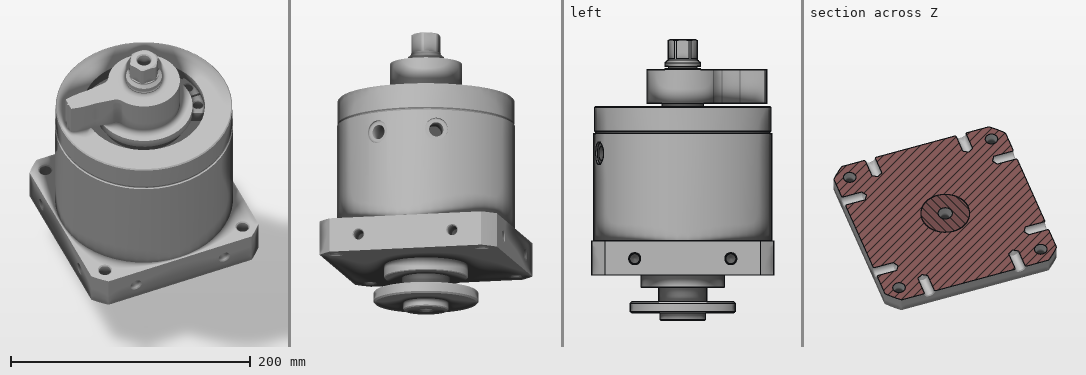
import cadquery as cq
import math


DISC_BOTTOM = 6.3
DISC_TOP = 15.7
SPIGOT_BOTTOM = 27.5
FLANGE_BOTTOM = 38.0
FLANGE_TOP = 66.3
JOURNAL_TOP = 123.5
BODY_TOP = 155.9
CAP_BOTTOM = 157.3
CAP_TOP = 178.5
LEVER_BOTTOM = 181.2
LEVER_TOP = 209.3
SHOULDER_TOP = 210.0
COLLAR_BOTTOM = 212.0
COLLAR_RIM = 215.0
COLLAR_TOP = 217.3
HEX_BOTTOM = 218.5
SHAFT_TOP = 234.5

FLANGE_SIDE = 152.0
FLANGE_CORNER_DIAMETER = 200.0
SPIGOT_DIAMETER = 69.9
SPIGOT_CHAMFER = 0.7
BODY_DIAMETER = 148.8
BODY_CHAMFER = 0.5
CAP_DIAMETER = 147.5
CAP_CHAMFER = 1.0
CAP_NECK_DIAMETER = CAP_DIAMETER - 2 * CAP_CHAMFER

MOUNT_HOLE_DIAMETER = 10.0
MOUNT_HOLE_RIM = 12.0
MOUNT_HOLE_OFFSET = 62.5

THREAD_CORE_DIAMETER = 8.5
THREAD_RIM = 10.0
SIDE_HOLE_OFFSET = 40.0
SIDE_HOLE_HEIGHT = 51.5
SIDE_HOLE_DEPTH = 17.5
DRILL_POINT_ANGLE = 118.0

PORT_DIAMETER = 12.0
PORT_DEPTH = 18.8
PORT_SEAT_DIAMETER = 19.0
PORT_SEAT_DEPTH = 2.0
PORT_HEIGHT = 139.5
PORT_ANGLE = 20.0

SLOT_OUTER_RADIUS = 50.9
SLOT_INNER_RADIUS = 40.5
SLOT_UNDERCUT = 5.2
SLOT_LIP = 7.0
SLOT_DEPTH = 16.6
SLOT_FLOOR = CAP_TOP - SLOT_DEPTH
LIP_UNDERSIDE = CAP_TOP - SLOT_LIP

STOP_END_ANGLE = 25.7
STOP_GAP = 2.0
STOP_HOLE_ANGLE = 13.5
STOP_HOLE_RADIUS = (SLOT_OUTER_RADIUS + SLOT_INNER_RADIUS) / 2

TAIL_DIAMETER = 38.0
TAIL_CHAMFER = 1.0
DISC_DIAMETER = 88.0
DISC_CHAMFER = 1.5
JOURNAL_DIAMETER = 40.0
HUB_DIAMETER = 35.0
SHOULDER_DIAMETER = 30.0
GROOVE_DIAMETER = 24.0
HEX_CORNER_DIAMETER = 24.5
HEX_ACROSS_FLATS = 22.3
HEX_TOP_DIAMETER = 21.0
HEX_CHAMFER_HEIGHT = 1.0
BORE_DIAMETER = 11.5
BORE_CHAMFER = 1.0

LEVER_HEAD_RADIUS = 30.0
ARM_ROOT_HALF_WIDTH = 15.2
ARM_NECK = (10.3, -32.8)
ARM_KNEE = (8.2, -47.5)
ARM_SIDE = (7.7, -58.1)
ARM_TIP = (5.9, -68.7)
ARM_ROOT_BULGE = (11.7, -28.5)
POINTER_HALF_WIDTH = 1.05
POINTER_LENGTH = 1.5


def cylinder(diameter, bottom, top):
    """Upright cylinder on the Z axis."""
    return cq.Workplane("XY", origin=(0, 0, bottom)).circle(diameter / 2).extrude(top - bottom)


def frustum(bottom_diameter, top_diameter, bottom, top):
    """Upright truncated cone on the Z axis."""
    base = cq.Workplane("XY", origin=(0, 0, bottom)).circle(bottom_diameter / 2)
    return base.workplane(offset=top - bottom).circle(top_diameter / 2).loft()


def ring(outer_radius, inner_radius, bottom, top):
    """Upright ring on the Z axis."""
    sketch = cq.Workplane("XY", origin=(0, 0, bottom)).circle(outer_radius).circle(inner_radius)
    return sketch.extrude(top - bottom)


def drilled_hole(diameter, rim, depth):
    """Cutter for a blind hole from Z = 0 downward: countersunk rim and conical end."""
    radius = diameter / 2
    sink = (rim - diameter) / 2
    point = radius / math.tan(math.radians(DRILL_POINT_ANGLE / 2))
    profile = [(0, 0), (rim / 2, 0), (radius, -sink), (radius, -depth), (0, -depth - point)]
    return cq.Workplane("XZ").polyline(profile).close().revolve(360, (0, 0, 0), (0, 1, 0))


def through_hole(diameter, rim, length):
    """Cutter for a hole from Z = 0 down to Z = -length, countersunk at both ends."""
    sink = (rim - diameter) / 2
    hole = cylinder(diameter, -length, 0)
    top_sink = frustum(diameter, rim, -sink, 0)
    bottom_sink = frustum(rim, diameter, -length, sink - length)
    return hole.union(top_sink).union(bottom_sink)


def slot_space():
    """Room of the circular T-slot: narrow at the cap face, wider below the lips."""
    mouth = ring(SLOT_OUTER_RADIUS, SLOT_INNER_RADIUS, LIP_UNDERSIDE, CAP_TOP)
    return mouth.union(slot_chamber())


def slot_chamber():
    """Wide part of the T-slot below the lips, which the stop blocks fill in height."""
    outer_radius = SLOT_OUTER_RADIUS + SLOT_UNDERCUT
    return ring(outer_radius, SLOT_INNER_RADIUS - SLOT_UNDERCUT, SLOT_FLOOR, LIP_UNDERSIDE)


def make_flange():
    """Square flange with turned corners, mounting holes and threaded holes in its sides."""
    height = FLANGE_TOP - FLANGE_BOTTOM
    flange = cq.Workplane("XY", origin=(0, 0, FLANGE_BOTTOM)).rect(FLANGE_SIDE, FLANGE_SIDE).extrude(height)
    flange = flange.intersect(cylinder(FLANGE_CORNER_DIAMETER, FLANGE_BOTTOM, FLANGE_TOP))

    mount_hole = through_hole(MOUNT_HOLE_DIAMETER, MOUNT_HOLE_RIM, height)
    for x in (-MOUNT_HOLE_OFFSET, MOUNT_HOLE_OFFSET):
        for y in (-MOUNT_HOLE_OFFSET, MOUNT_HOLE_OFFSET):
            flange = flange.cut(mount_hole.translate((x, y, FLANGE_TOP)))

    side_hole = drilled_hole(THREAD_CORE_DIAMETER, THREAD_RIM, SIDE_HOLE_DEPTH)
    side_hole = side_hole.rotate((0, 0, 0), (0, 1, 0), 90)
    for side in range(4):
        for y in (-SIDE_HOLE_OFFSET, SIDE_HOLE_OFFSET):
            placed = side_hole.translate((FLANGE_SIDE / 2, y, SIDE_HOLE_HEIGHT))
            flange = flange.cut(placed.rotate((0, 0, 0), (0, 0, 1), 90 * side))
    return flange


def shaft_journals():
    """Part of the shaft that runs inside the housing, from the spigot to the lever."""
    lower = cylinder(JOURNAL_DIAMETER, DISC_TOP, JOURNAL_TOP)
    return lower.union(cylinder(HUB_DIAMETER, JOURNAL_TOP, LEVER_BOTTOM))


def make_housing():
    """Flange, centring spigot, round body and slotted cap, bored for the shaft."""
    spigot = cylinder(SPIGOT_DIAMETER, SPIGOT_BOTTOM, FLANGE_BOTTOM).faces("<Z").chamfer(SPIGOT_CHAMFER)
    body = cylinder(BODY_DIAMETER, FLANGE_TOP, BODY_TOP).faces("<Z").chamfer(BODY_CHAMFER)
    neck = cylinder(CAP_NECK_DIAMETER, BODY_TOP, CAP_BOTTOM)
    cap = cylinder(CAP_DIAMETER, CAP_BOTTOM, CAP_TOP).edges().chamfer(CAP_CHAMFER)
    housing = make_flange().union(spigot).union(body).union(neck).union(cap)

    seat = cylinder(PORT_SEAT_DIAMETER, -PORT_SEAT_DEPTH, PORT_SEAT_DEPTH)
    port = cylinder(PORT_DIAMETER, -PORT_DEPTH, 0).union(seat)
    port = port.rotate((0, 0, 0), (1, 0, 0), -90).translate((0, BODY_DIAMETER / 2, PORT_HEIGHT))
    for angle in (-PORT_ANGLE, PORT_ANGLE):
        housing = housing.cut(port.rotate((0, 0, 0), (0, 0, 1), angle))

    return housing.cut(slot_space()).cut(shaft_journals())


def make_stop(side):
    """Stop block in the T-slot; side is +1 for the +X block and -1 for the -X block."""
    reach = 2 * SLOT_OUTER_RADIUS
    half_gap = STOP_GAP / 2
    end = (side * reach * math.tan(math.radians(STOP_END_ANGLE)), reach)
    inner_y = half_gap / math.tan(math.radians(STOP_END_ANGLE))
    corners = [(side * half_gap, inner_y), (side * half_gap, reach), end]
    wedge = cq.Workplane("XY", origin=(0, 0, SLOT_FLOOR)).polyline(corners).close().extrude(SLOT_DEPTH)

    hole = through_hole(THREAD_CORE_DIAMETER, THREAD_RIM, LIP_UNDERSIDE - SLOT_FLOOR)
    hole = hole.translate((0, STOP_HOLE_RADIUS, LIP_UNDERSIDE))
    hole = hole.rotate((0, 0, 0), (0, 0, 1), -side * STOP_HOLE_ANGLE)
    return slot_chamber().intersect(wedge).cut(hole)


def make_lever():
    """Round lever head with a tapering arm toward -Y and a pointer ridge at its tip."""
    height = LEVER_TOP - LEVER_BOTTOM
    root = (ARM_ROOT_HALF_WIDTH, -math.sqrt(LEVER_HEAD_RADIUS**2 - ARM_ROOT_HALF_WIDTH**2))

    def mirrored(point):
        return (-point[0], point[1])

    outline = (
        cq.Workplane("XY", origin=(0, 0, LEVER_BOTTOM))
        .moveTo(*root)
        .threePointArc(ARM_ROOT_BULGE, ARM_NECK)
        .lineTo(*ARM_KNEE)
        .threePointArc(ARM_SIDE, ARM_TIP)
        .lineTo(POINTER_HALF_WIDTH, ARM_TIP[1])
        .lineTo(0, ARM_TIP[1] - POINTER_LENGTH)
        .lineTo(-POINTER_HALF_WIDTH, ARM_TIP[1])
        .lineTo(*mirrored(ARM_TIP))
        .threePointArc(mirrored(ARM_SIDE), mirrored(ARM_KNEE))
        .lineTo(*mirrored(ARM_NECK))
        .threePointArc(mirrored(ARM_ROOT_BULGE), mirrored(root))
        .threePointArc((0, LEVER_HEAD_RADIUS), root)
        .close()
    )
    return outline.extrude(height)


def make_hex_end():
    """Hexagonal end of the shaft with turned corners and a chamfered top."""
    height = SHAFT_TOP - HEX_BOTTOM
    across_corners = HEX_ACROSS_FLATS / math.cos(math.radians(30))
    hexagon = cq.Workplane("XY", origin=(0, 0, HEX_BOTTOM)).polygon(6, across_corners).extrude(height)
    hexagon = hexagon.rotate((0, 0, 0), (0, 0, 1), 90)
    chamfer_bottom = SHAFT_TOP - HEX_CHAMFER_HEIGHT
    blank = cylinder(HEX_CORNER_DIAMETER, HEX_BOTTOM, chamfer_bottom)
    blank = blank.union(frustum(HEX_CORNER_DIAMETER, HEX_TOP_DIAMETER, chamfer_bottom, SHAFT_TOP))
    return hexagon.intersect(blank)


def make_shaft():
    """Shaft with its output disc, stop lever, collar and hexagonal end, bored right through."""
    tail = cylinder(TAIL_DIAMETER, 0, DISC_BOTTOM).faces("<Z").chamfer(TAIL_CHAMFER)
    disc = cylinder(DISC_DIAMETER, DISC_BOTTOM, DISC_TOP).edges().chamfer(DISC_CHAMFER)
    shoulder = cylinder(SHOULDER_DIAMETER, LEVER_TOP, SHOULDER_TOP)
    groove_core = cylinder(GROOVE_DIAMETER, SHOULDER_TOP, COLLAR_BOTTOM)
    collar = cylinder(SHOULDER_DIAMETER, COLLAR_BOTTOM, COLLAR_RIM)
    collar_cone = frustum(SHOULDER_DIAMETER, HEX_CORNER_DIAMETER, COLLAR_RIM, COLLAR_TOP)
    hex_root = cylinder(HEX_CORNER_DIAMETER, COLLAR_TOP, HEX_BOTTOM)

    shaft = shaft_journals()
    sections = [tail, disc, make_lever(), shoulder, groove_core, collar, collar_cone, hex_root]
    for section in [*sections, make_hex_end()]:
        shaft = shaft.union(section)

    bore = through_hole(BORE_DIAMETER, BORE_DIAMETER + 2 * BORE_CHAMFER, SHAFT_TOP)
    return shaft.cut(bore.translate((0, 0, SHAFT_TOP)))


housing = make_housing()
shaft = make_shaft()
stops = [make_stop(side) for side in (-1, 1)]

result = cq.Compound.makeCompound([housing.val(), shaft.val(), *[stop.val() for stop in stops]])